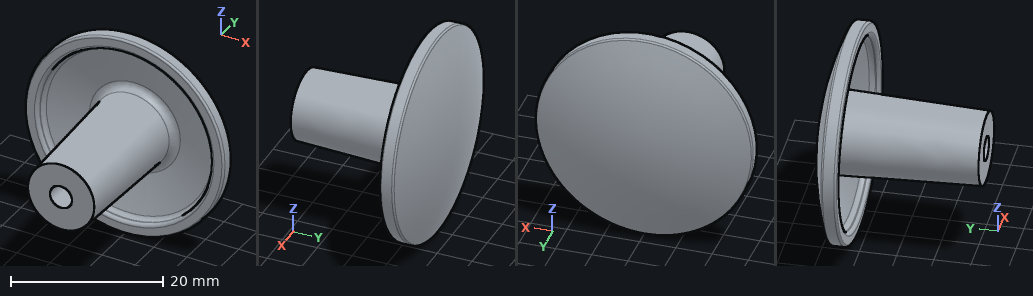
import cadquery as cq
import math

cap_radius = 15.0
rim_height = 2.0
dome_rise = 2.97
stem_length = 17.0
stem_tip_radius = 5.0
stem_draft = 2.0
shell_thickness = 1.5
recess_radius = 13.0
hole_radius = 1.65
hole_depth = 10.0
drill_point_angle = 118.0

rim_round = 0.3
mouth_round = 0.5
corner_round = 0.75
stem_root_round = 1.0
edge_tolerance = 0.003

dome_apex = rim_height + dome_rise
dome_radius = (cap_radius**2 + dome_rise**2) / (2 * dome_rise)
dome_center = dome_apex - dome_radius
floor_radius = dome_radius - shell_thickness


def sphere_height(radius, distance):
    """Y of a dome-centred sphere at a distance from the axis."""
    return dome_center + math.sqrt(radius**2 - distance**2)


def turn(profile):
    """Revolve a closed XY profile about the Y axis."""
    return profile.close().revolve(360, (0, 0, 0), (0, 1, 0))


def round_circle(body, radius, height, round_radius):
    """Fillet the circular edge of the given radius at the given Y."""
    def matches(edge):
        return (
            edge.geomType() == "CIRCLE"
            and abs(edge.radius() - radius) < edge_tolerance
            and abs(edge.Center().y - height) < edge_tolerance
        )

    return body.newObject(list(filter(matches, body.edges().vals()))).fillet(round_radius)


stem_slope = math.tan(math.radians(stem_draft))
stem_base_radius = stem_tip_radius + stem_length * stem_slope
quadratic = 1 + stem_slope**2
half_linear = stem_base_radius * stem_slope - dome_center
constant = stem_base_radius**2 + dome_center**2 - floor_radius**2
root_height = (math.sqrt(half_linear**2 - quadratic * constant) - half_linear) / quadratic
root_radius = stem_base_radius + root_height * stem_slope

floor_middle = (root_radius + recess_radius) / 2
corner_height = sphere_height(floor_radius, recess_radius)
dome_middle = cap_radius / 2
knob = turn(
    cq.Workplane("XY")
    .moveTo(0, -stem_length)
    .lineTo(stem_tip_radius, -stem_length)
    .lineTo(root_radius, root_height)
    .threePointArc(
        (floor_middle, sphere_height(floor_radius, floor_middle)),
        (recess_radius, corner_height),
    )
    .lineTo(recess_radius, 0)
    .lineTo(cap_radius, 0)
    .lineTo(cap_radius, rim_height)
    .threePointArc((dome_middle, sphere_height(dome_radius, dome_middle)), (0, dome_apex))
)

knob = round_circle(knob, cap_radius, 0, rim_round)
knob = round_circle(knob, cap_radius, rim_height, rim_round)
knob = round_circle(knob, recess_radius, 0, mouth_round)
knob = round_circle(knob, recess_radius, corner_height, corner_round)
knob = round_circle(knob, root_radius, root_height, stem_root_round)

hole_end = hole_depth - stem_length
point_length = hole_radius / math.tan(math.radians(drill_point_angle / 2))
hole = turn(
    cq.Workplane("XY")
    .moveTo(0, -stem_length)
    .lineTo(hole_radius, -stem_length)
    .lineTo(hole_radius, hole_end)
    .lineTo(0, hole_end + point_length)
)

result = knob.cut(hole)